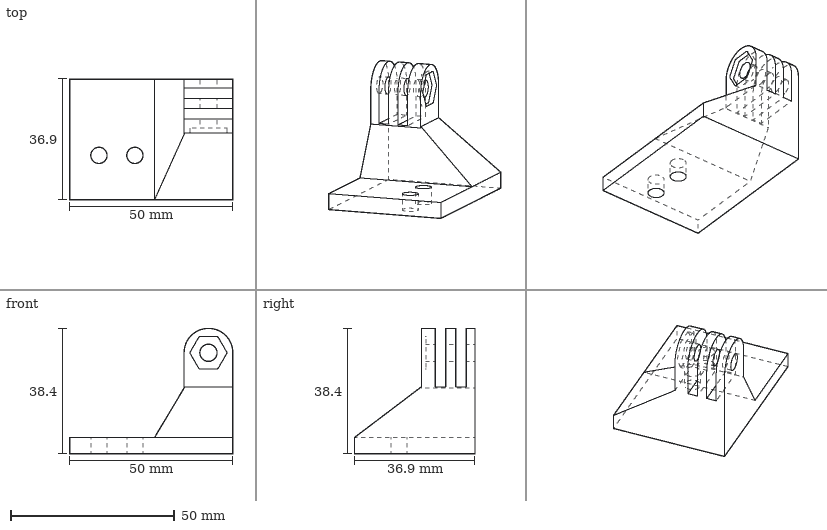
import cadquery as cq
import math

plate_length = 50.0
plate_depth = 36.9
plate_thickness = 5.0
screw_hole_diameter = 4.9
screw_hole_count = 2
screw_hole_spacing = 11.0
first_screw_hole_x = 9.0
screw_hole_y = 13.6

lug_width = 15.0
lug_radius = lug_width / 2
pivot_diameter = 5.2
pivot_height = 30.9
back_finger = 2.75
middle_finger = 3.1
front_finger = 4.3
slot_count = 2
slot_width = 3.15
slot_floor_height = 20.5
lug_depth = back_finger + middle_finger + front_finger + slot_count * slot_width
lug_left = plate_length - lug_width
lug_front = plate_depth - lug_depth
pivot_x = plate_length - lug_radius

pedestal_left = 26.0
left_slope_height = 20.1
pedestal_top = slot_floor_height
left_slope = (left_slope_height - plate_thickness) / (lug_left - pedestal_left)
pedestal_top_left = pedestal_left + (pedestal_top - plate_thickness) / left_slope

nut_sides = 6
nut_across_flats = 9.9
nut_across_corners = nut_across_flats / math.cos(math.pi / nut_sides)
nut_corner_radius = 0.6
nut_depth = 1.5

lug_front_face = cq.Plane(origin=(0, lug_front, 0), xDir=(1, 0, 0), normal=(0, -1, 0))


def make_plate():
    plate = cq.Workplane("XY").box(plate_length, plate_depth, plate_thickness, centered=False)
    hole_centres = [
        (first_screw_hole_x + i * screw_hole_spacing, screw_hole_y)
        for i in range(screw_hole_count)
    ]
    holes = (
        cq.Workplane("XY")
        .pushPoints(hole_centres)
        .circle(screw_hole_diameter / 2)
        .extrude(plate_thickness)
    )
    return plate.cut(holes)


def make_pedestal():
    """Intersect a wedge sloping on the left with a wedge sloping at the front."""
    left_wedge = (
        cq.Workplane("XZ")
        .moveTo(pedestal_left, plate_thickness)
        .lineTo(pedestal_top_left, pedestal_top)
        .lineTo(plate_length, pedestal_top)
        .lineTo(plate_length, plate_thickness)
        .close()
        .extrude(-plate_depth)
    )
    front_wedge = (
        cq.Workplane("YZ")
        .moveTo(0, plate_thickness)
        .lineTo(lug_front, pedestal_top)
        .lineTo(plate_depth, pedestal_top)
        .lineTo(plate_depth, plate_thickness)
        .close()
        .extrude(plate_length)
    )
    return left_wedge.intersect(front_wedge)


def make_lug():
    """Round-topped block standing on the plate."""
    return (
        cq.Workplane(lug_front_face)
        .moveTo(lug_left, plate_thickness)
        .lineTo(lug_left, pivot_height)
        .threePointArc((pivot_x, pivot_height + lug_radius), (plate_length, pivot_height))
        .lineTo(plate_length, plate_thickness)
        .close()
        .extrude(-lug_depth)
    )


def make_finger_slots():
    slot_height = pivot_height + lug_radius - slot_floor_height
    first_slot_y = lug_front + front_finger
    slot_pitch = slot_width + middle_finger
    slots = cq.Workplane("XY")
    for i in range(slot_count):
        corner = (lug_left, first_slot_y + i * slot_pitch, slot_floor_height)
        slot = cq.Workplane("XY").box(lug_width, slot_width, slot_height, centered=False)
        slots = slots.add(slot.translate(corner))
    return slots.combine()


def make_pivot_hole():
    return (
        cq.Workplane(lug_front_face)
        .center(pivot_x, pivot_height)
        .circle(pivot_diameter / 2)
        .extrude(-lug_depth)
    )


def make_nut_pocket():
    """Hexagon with rounded corners, two of its flats horizontal."""
    return (
        cq.Workplane(lug_front_face)
        .center(pivot_x, pivot_height)
        .polygon(nut_sides, nut_across_corners)
        .extrude(-nut_depth)
        .edges("|Y")
        .fillet(nut_corner_radius)
    )


body = make_plate().union(make_pedestal()).union(make_lug())
result = body.cut(make_finger_slots()).cut(make_pivot_hole()).cut(make_nut_pocket())